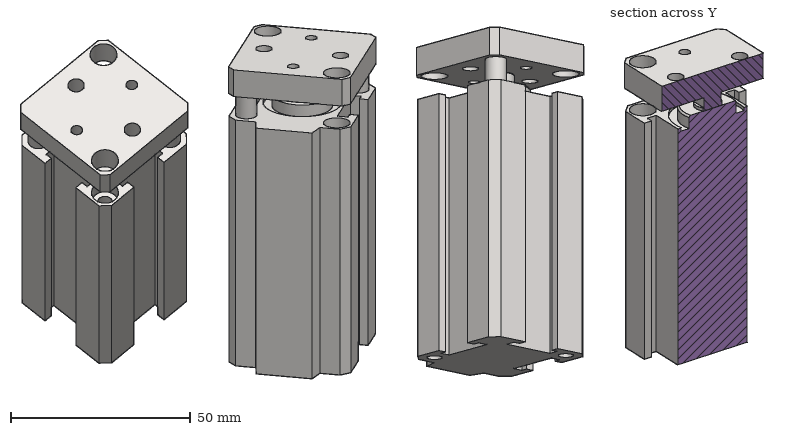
import cadquery as cq

width = 35.0
half_width = width / 2
total_height = 89.0
plate_thickness = 8.0
plate_gap = 7.0
plate_bottom = total_height - plate_thickness
housing_height = plate_bottom - plate_gap

housing_corner_chamfer = 2.5
plate_corner_chamfer = 2.0
corner_pitch = 26.0
corner_offset = corner_pitch / 2
mount_hole_pitch = 22.0
mount_hole_offset = mount_hole_pitch / 2

rail_height = 4.5
rail_tip_width = 16.0
rail_base_width = 18.4

slot_opening = 12.0
slot_inner_width = 16.0
slot_depth = 5.5
slot_lip = 2.5

screw_head_diameter = 7.5
screw_head_depth = 4.7
screw_shank_diameter = 4.3

mouth_diameter = 22.0
mouth_depth = 1.0
collar_diameter = 17.0
collar_height = 3.0
collar_chamfer = 0.5
collar_top = housing_height + collar_height

guide_rod_diameter = 6.0
piston_rod_diameter = 8.0
piston_flat_width = 6.1
piston_end_chamfer = 0.3
piston_round_length = 1.0
flat_start = collar_top + piston_round_length

side_hole_diameter = 4.5
front_back_hole_diameter = 3.2

screw_corners = [(-corner_offset, corner_offset), (corner_offset, -corner_offset)]
rod_corners = [(-corner_offset, -corner_offset), (corner_offset, corner_offset)]


def cylinder(diameter, bottom, top, points=((0, 0),)):
    """Upright cylinders at the given XY points."""
    return (
        cq.Workplane("XY", origin=(0, 0, bottom))
        .pushPoints(points)
        .circle(diameter / 2)
        .extrude(top - bottom)
    )


def square_block(bottom, top, corner_chamfer):
    """Upright square block with chamfered vertical edges."""
    return (
        cq.Workplane("XY", origin=(0, 0, bottom))
        .rect(width, width)
        .extrude(top - bottom)
        .edges("|Z")
        .chamfer(corner_chamfer)
    )


def make_rail():
    """Tapered rail running the full height of the back face."""
    tip_y = half_width + rail_height
    outline = [
        (-rail_base_width / 2, half_width),
        (rail_base_width / 2, half_width),
        (rail_tip_width / 2, tip_y),
        (-rail_tip_width / 2, tip_y),
    ]
    return cq.Workplane("XY").polyline(outline).close().extrude(housing_height)


def make_t_slot(angle):
    """T-slot of the -Y face, turned about Z to another face."""
    floor_y = slot_depth - half_width
    opening = (
        cq.Workplane("XY")
        .center(0, floor_y - slot_depth / 2)
        .rect(slot_opening, slot_depth)
        .extrude(housing_height)
    )
    inner_depth = slot_depth - slot_lip
    undercut = (
        cq.Workplane("XY")
        .center(0, floor_y - inner_depth / 2)
        .rect(slot_inner_width, inner_depth)
        .extrude(housing_height)
    )
    return opening.union(undercut).rotate((0, 0, 0), (0, 0, 1), angle)


def make_housing():
    """Slotted cylinder housing with its rail and mouth collar."""
    body = square_block(0, housing_height, housing_corner_chamfer).union(make_rail())
    for angle in (-90, 0, 90):
        body = body.cut(make_t_slot(angle))
    body = body.cut(cylinder(screw_shank_diameter, 0, housing_height, screw_corners))
    head_floor = housing_height - screw_head_depth
    body = body.cut(cylinder(screw_head_diameter, head_floor, housing_height, screw_corners))

    mouth_floor = housing_height - mouth_depth
    body = body.cut(cylinder(mouth_diameter, mouth_floor, housing_height))
    collar = cylinder(collar_diameter, mouth_floor, collar_top).faces(">Z").chamfer(collar_chamfer)
    return body.union(collar)


def make_piston_rod():
    """Piston rod with a pair of wrench flats facing +X and -X."""
    rod = cylinder(piston_rod_diameter, collar_top, plate_bottom)
    rod = rod.faces(">Z").chamfer(piston_end_chamfer)
    flatted_envelope = (
        cq.Workplane("XY", origin=(0, 0, flat_start))
        .rect(piston_flat_width, piston_rod_diameter)
        .extrude(plate_bottom - flat_start)
    )
    round_base = cylinder(piston_rod_diameter, collar_top, flat_start)
    return rod.intersect(flatted_envelope).union(round_base)


def make_plate():
    """Tool plate carrying the guide rods and the piston rod."""
    plate = square_block(plate_bottom, total_height, plate_corner_chamfer)
    hole_sets = [
        (screw_head_diameter, screw_corners),
        (side_hole_diameter, [(-mount_hole_offset, 0), (mount_hole_offset, 0)]),
        (front_back_hole_diameter, [(0, -mount_hole_offset), (0, mount_hole_offset)]),
    ]
    for diameter, points in hole_sets:
        plate = plate.cut(cylinder(diameter, plate_bottom, total_height, points))
    guide_rods = cylinder(guide_rod_diameter, housing_height, plate_bottom, rod_corners)
    return plate.union(guide_rods).union(make_piston_rod())


housing = make_housing()
plate = make_plate()

result = cq.Compound.makeCompound([housing.val(), plate.val()])